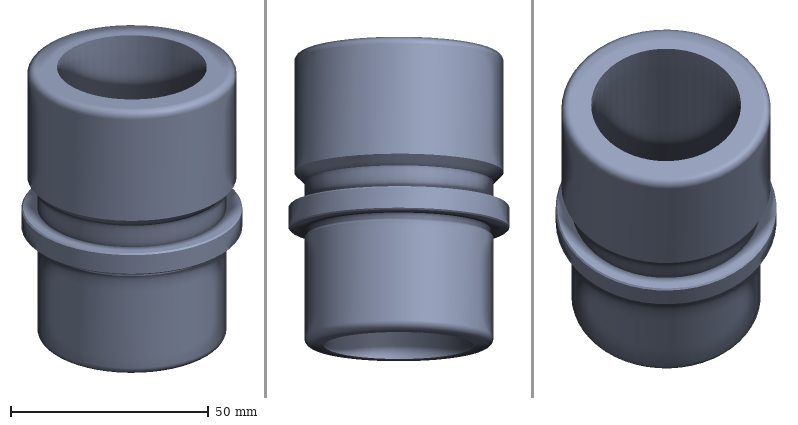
import cadquery as cq

total_height = 75.0
bore_radius = 19.0

spigot_radius = 24.0
spigot_top = 28.6
spigot_bottom_fillet = 2.0
spigot_top_chamfer = 0.75

relief_radius = spigot_radius - spigot_top_chamfer

flange_radius = 28.0
flange_bottom = 30.0
flange_thickness = 6.0
flange_chamfer = 0.4
flange_top = flange_bottom + flange_thickness

head_radius = 26.55
head_bottom = 42.0
cone_top = head_bottom + head_radius - spigot_radius
head_top_fillet = 2.0


def cylinder(radius, bottom, top):
    return cq.Workplane("XY").workplane(offset=bottom).circle(radius).extrude(top - bottom)


spigot = cylinder(spigot_radius, 0, spigot_top)
spigot = spigot.faces("<Z").edges().fillet(spigot_bottom_fillet)
spigot = spigot.faces(">Z").edges().chamfer(spigot_top_chamfer)

relief = cylinder(relief_radius, spigot_top, flange_bottom)

flange = cylinder(flange_radius, flange_bottom, flange_top).edges().chamfer(flange_chamfer)

neck = cylinder(spigot_radius, flange_top, head_bottom)

head_cone = (
    cq.Workplane("XZ")
    .moveTo(0, head_bottom)
    .lineTo(spigot_radius, head_bottom)
    .lineTo(head_radius, cone_top)
    .lineTo(0, cone_top)
    .close()
    .revolve(360, (0, 0), (0, 1))
)
head = cylinder(head_radius, cone_top, total_height).faces(">Z").edges().fillet(head_top_fillet)

body = spigot.union(relief).union(flange).union(neck).union(head_cone).union(head)
result = body.cut(cylinder(bore_radius, 0, total_height))